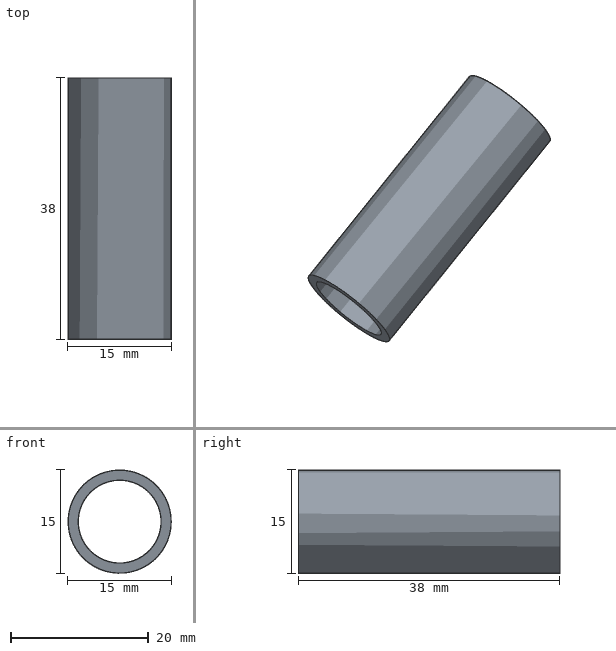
import cadquery as cq

outer_diameter = 15.0
wall_thickness = 1.5
length = 38.0

inner_diameter = outer_diameter - 2 * wall_thickness


def make_tube():
    """Ring section in the XZ plane, extruded along Y from one end to the other."""
    end_plane = cq.Workplane("XZ", origin=(0, length / 2, 0))
    ring = end_plane.circle(outer_diameter / 2).circle(inner_diameter / 2)
    return ring.extrude(length)


result = make_tube()